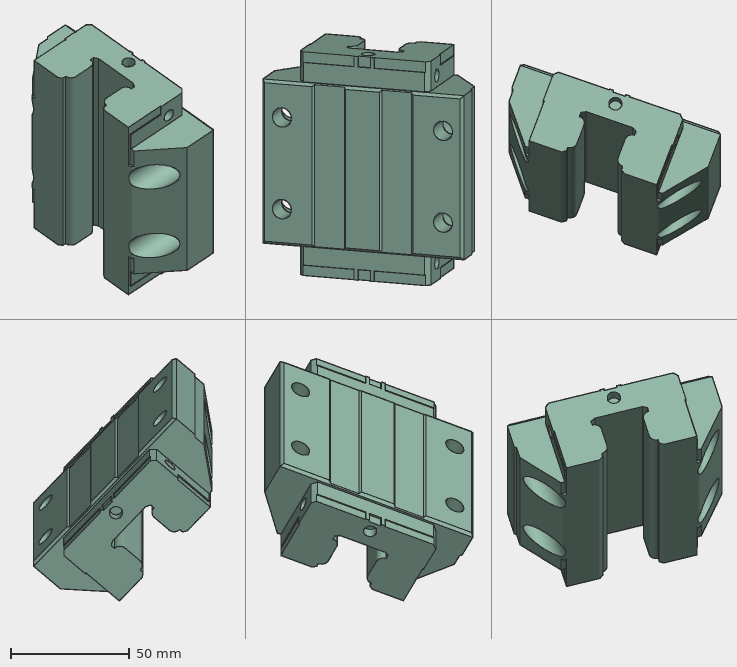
import cadquery as cq
import math

LENGTH = 97.5
WIDTH = 90.0
HEIGHT = 35.4

FLANGE_LENGTH = 71.6
BACK_BEVEL = 1.3
SLOPE_ANGLE = 51.4
SLOPE_TOP_Y = 18.8
EDGE_FILLET = 2.1
FOOT_STEP_Y = 1.1
FOOT_FULL_LENGTH = 53.4

REFERENCE_SETBACK = 0.9
REFERENCE_TOP_Y = 23.6
REFERENCE_LOW_Y = 22.8

GROOVE_DEPTH = 0.8
GROOVE_INNER_X = 8.4
GROOVE_OUTER_X = 21.7

BOLT_PITCH_X = 72.1
BOLT_PITCH_Z = 40.0
BOLT_DIAMETER = 8.4
BOLT_CHAMFER = 0.5
SPOTFACE_DIAMETER = 14.0
FLANGE_THICKNESS = 12.7
SPOTFACE_FLOOR_Y = HEIGHT - FLANGE_THICKNESS

CAP_WIDTH = 58.3
CAP_BACK_Y = 33.2
CAP_CORNER = 2.1

SEAL_THICKNESS = 4.6
SEAL_WIDTH = 57.3
SEAL_SHOULDER_Y = 18.8
SEAL_BACK_DROP = 0.4
TAB_WIDTH = 9.1
TAB_NOTCH_WIDTH = 5.6
TAB_NOTCH_DEPTH = 0.8

PORT_DIAMETER = 5.6
PORT_DEPTH = 4.9
END_PORT_Y = 27.9
SIDE_PORT_Y = 23.4
SIDE_PORT_INSET = 8.0

CHANNEL_FLOOR_Y = 20.4
CHANNEL_HALF_WIDTH = 12.4
CHANNEL_CORNER_X = 1.95
CHANNEL_CORNER_Y = 1.1
LAND_REACH = 3.1
LAND_TOP_Y = 17.5
LAND_LOW_Y = 2.8
MOUTH_CHAMFER_X = 1.8
MOUTH_CHAMFER_Y = 1.2
MOUTH_FILLET = 0.7

HALF_LENGTH = LENGTH / 2
HALF_WIDTH = WIDTH / 2
HALF_FLANGE = FLANGE_LENGTH / 2
SEAL_START_Z = HALF_LENGTH - SEAL_THICKNESS


def block(x0, x1, y0, y1, z0, z1):
    """Box between two opposite corners."""
    return cq.Workplane("XY").box(x1 - x0, y1 - y0, z1 - z0, centered=False).translate((x0, y0, z0))


def along_z(sketch, length):
    """Extrude a closed XY outline evenly to both sides of Z = 0."""
    return sketch.extrude(length / 2, both=True)


def flange_body():
    slope_run = SLOPE_TOP_Y / math.tan(math.radians(SLOPE_ANGLE))
    foot_x = HALF_WIDTH - slope_run
    outline = (
        cq.Workplane("XY")
        .moveTo(-foot_x, 0)
        .lineTo(foot_x, 0)
        .lineTo(HALF_WIDTH, SLOPE_TOP_Y)
        .lineTo(HALF_WIDTH, HEIGHT)
        .lineTo(-HALF_WIDTH, HEIGHT)
        .lineTo(-HALF_WIDTH, SLOPE_TOP_Y)
        .close()
    )
    body = along_z(outline, FLANGE_LENGTH)
    body = body.faces(">Y").edges().chamfer(BACK_BEVEL)
    body = body.faces("<Y").edges("|Z").fillet(EDGE_FILLET)

    reference = (
        cq.Workplane("XY")
        .moveTo(-HALF_WIDTH, 0)
        .lineTo(-HALF_WIDTH + REFERENCE_SETBACK, 0)
        .lineTo(-HALF_WIDTH + REFERENCE_SETBACK, REFERENCE_LOW_Y)
        .lineTo(-HALF_WIDTH, REFERENCE_TOP_Y)
        .close()
    )
    body = body.cut(along_z(reference, FLANGE_LENGTH))

    for side in (-1, 1):
        groove = (
            cq.Workplane("XY")
            .moveTo(side * (GROOVE_INNER_X - GROOVE_DEPTH), HEIGHT)
            .lineTo(side * GROOVE_INNER_X, HEIGHT - GROOVE_DEPTH)
            .lineTo(side * GROOVE_OUTER_X, HEIGHT - GROOVE_DEPTH)
            .lineTo(side * (GROOVE_OUTER_X + GROOVE_DEPTH), HEIGHT)
            .close()
        )
        body = body.cut(along_z(groove, FLANGE_LENGTH))

    for z0, z1 in ((-HALF_FLANGE, -FOOT_FULL_LENGTH / 2), (FOOT_FULL_LENGTH / 2, HALF_FLANGE)):
        body = body.cut(block(-HALF_WIDTH, HALF_WIDTH, 0, FOOT_STEP_Y, z0, z1))
    return body


def end_caps_and_seals():
    cap_height = CAP_BACK_Y - FOOT_STEP_Y
    cap = cq.Workplane("XY").box(CAP_WIDTH, cap_height, LENGTH)
    cap = cap.translate((0, FOOT_STEP_Y + cap_height / 2, 0))
    cap = cap.faces(">Y").edges("|Z").chamfer(CAP_CORNER)
    half_cap = CAP_WIDTH / 2
    half_seal = SEAL_WIDTH / 2
    half_tab = TAB_WIDTH / 2
    half_notch = TAB_NOTCH_WIDTH / 2
    for z0, z1 in ((-HALF_LENGTH, -SEAL_START_Z), (SEAL_START_Z, HALF_LENGTH)):
        for x0, x1 in ((-half_cap, -half_seal), (half_seal, half_cap)):
            cap = cap.cut(block(x0, x1, 0, SEAL_SHOULDER_Y, z0, z1))
        for x0, x1 in ((-half_cap, -half_tab), (half_tab, half_cap)):
            cap = cap.cut(block(x0, x1, CAP_BACK_Y - SEAL_BACK_DROP, CAP_BACK_Y, z0, z1))
        cap = cap.cut(block(-half_notch, half_notch, CAP_BACK_Y - TAB_NOTCH_DEPTH, CAP_BACK_Y, z0, z1))
    front_strip = block(-half_seal, half_seal, 0, FOOT_STEP_Y, -HALF_LENGTH, HALF_LENGTH)
    return cap.union(front_strip)


def rail_channel():
    """Channel with a rounded land on each wall, an undercut behind it and a chamfered mouth."""
    bend = LAND_REACH * math.sqrt(0.5)
    wall = CHANNEL_HALF_WIDTH
    mouth = wall + MOUTH_CHAMFER_X
    outline = (
        cq.Workplane("XY")
        .moveTo(0, 0)
        .lineTo(mouth, 0)
        .lineTo(wall, MOUTH_CHAMFER_Y)
        .lineTo(wall, LAND_LOW_Y)
        .threePointArc(
            (wall - bend, LAND_LOW_Y + LAND_REACH - bend),
            (wall - LAND_REACH, LAND_LOW_Y + LAND_REACH),
        )
        .lineTo(wall - LAND_REACH, LAND_TOP_Y - LAND_REACH)
        .threePointArc((wall - bend, LAND_TOP_Y - LAND_REACH + bend), (wall, LAND_TOP_Y))
        .lineTo(wall, CHANNEL_FLOOR_Y - CHANNEL_CORNER_Y)
        .lineTo(wall - CHANNEL_CORNER_X, CHANNEL_FLOOR_Y)
        .lineTo(0, CHANNEL_FLOOR_Y)
        .close()
    )
    half = along_z(outline, LENGTH)
    return half.union(half.mirror("YZ"))


def cylinder_y(diameter, x, z, y0, y1):
    """Cylinder along Y between two heights."""
    start = cq.Vector(x, y0, z)
    return cq.Workplane(cq.Solid.makeCylinder(diameter / 2, y1 - y0, start, cq.Vector(0, 1, 0)))


def bolt_hole(x, z):
    """Through hole, opened at the front by a flat-bottomed spotface."""
    radius = BOLT_DIAMETER / 2
    hole = cylinder_y(BOLT_DIAMETER, x, z, 0, HEIGHT)
    spotface = cylinder_y(SPOTFACE_DIAMETER, x, z, 0, SPOTFACE_FLOOR_Y)
    countersink = cq.Solid.makeCone(
        radius + BOLT_CHAMFER,
        radius,
        BOLT_CHAMFER,
        cq.Vector(x, SPOTFACE_FLOOR_Y, z),
        cq.Vector(0, 1, 0),
    )
    return hole.union(spotface).union(cq.Workplane(countersink))


def port(x, y, z, direction):
    """Blind round port that starts on a face and runs inwards."""
    hole = cq.Solid.makeCylinder(PORT_DIAMETER / 2, PORT_DEPTH, cq.Vector(x, y, z), cq.Vector(*direction))
    return cq.Workplane(hole)


result = flange_body().union(end_caps_and_seals()).cut(rail_channel())

for side in (-1, 1):
    mouth_x = side * (CHANNEL_HALF_WIDTH + MOUTH_CHAMFER_X)
    result = result.edges(cq.selectors.NearestToPointSelector((mouth_x, 0, 0))).fillet(MOUTH_FILLET)

for side in (-1, 1):
    for end in (-1, 1):
        result = result.cut(bolt_hole(side * BOLT_PITCH_X / 2, end * BOLT_PITCH_Z / 2))

for end in (-1, 1):
    result = result.cut(port(0, END_PORT_Y, end * HALF_LENGTH, (0, 0, -end)))
    for side in (-1, 1):
        port_z = end * (HALF_LENGTH - SIDE_PORT_INSET)
        result = result.cut(port(side * CAP_WIDTH / 2, SIDE_PORT_Y, port_z, (-side, 0, 0)))